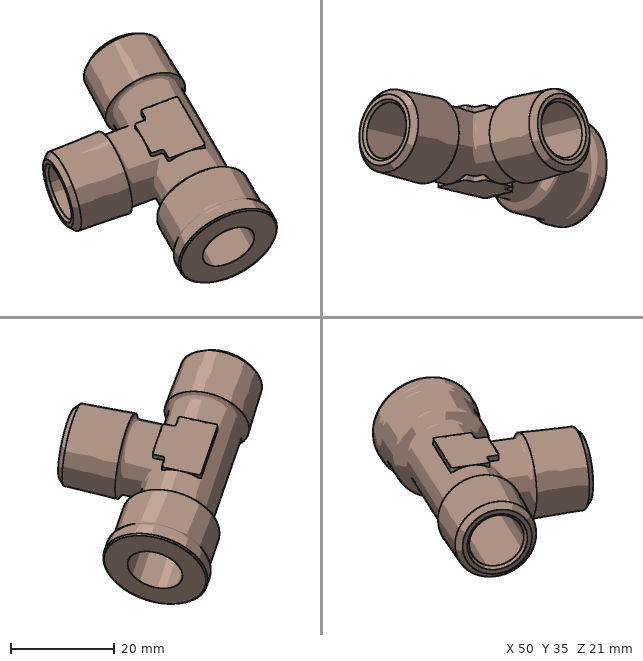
import cadquery as cq
import math

pipe_radius = 7.5
bore_radius = 5.5

spigot_reach = 24.5
spigot_start = 11.5
spigot_face_radius = 7.0
spigot_tip_radius = 8.2
spigot_root_radius = 8.5
spigot_lead_in = 1.15
spigot_neck_fillet = 1.0
spigot_neck_angle = 60.0
mouth_chamfer = 0.55

socket_reach = 25.5
socket_radius = 9.75
socket_start = 11.55
shoulder_angle = 60.0
shoulder_inner_fillet = 0.75
shoulder_outer_round = 1.0
collar_start = 21.45
collar_radius = 10.5
collar_angle = 45.0
collar_fillet = 1.0
collar_chamfer = 0.3

pad_base = 6.25
pad_draft = 3.0
pad_head_half_width = 6.5
pad_stem_half_width = 3.95
pad_back = 4.0
pad_step = -3.95
pad_front = -6.5
pad_corner_radius = 0.5

crease_fillet = 0.5


def add_shoulder(outline, start, radius_in, radius_out, angle, fillet, outer_round):
    """Extend a profile outward: concave arc, cone at the given angle, optional convex arc."""
    slope = math.radians(angle)

    def arc_point(size, turn):
        return size * math.sin(turn), size * (1 - math.cos(turn))

    fillet_run, fillet_rise = arc_point(fillet, slope)
    mid_run, mid_rise = arc_point(fillet, slope / 2)
    round_run, round_rise = arc_point(outer_round, slope)
    cone_rise = radius_out - radius_in - fillet_rise - round_rise
    cone_end = start + fillet_run + cone_rise / math.tan(slope)
    outline = outline.lineTo(start, radius_in)
    outline = outline.threePointArc(
        (start + mid_run, radius_in + mid_rise),
        (start + fillet_run, radius_in + fillet_rise),
    )
    outline = outline.lineTo(cone_end, radius_out - round_rise)
    if outer_round > 0:
        end = cone_end + round_run
        back_run, back_drop = arc_point(outer_round, slope / 2)
        outline = outline.threePointArc((end - back_run, radius_out - back_drop), (end, radius_out))
    return outline


def revolve_along_x(outline):
    return outline.close().revolve(360, (0, 0, 0), (1, 0, 0))


def make_spigot():
    """Tapered spigot pointing along +X, without its plain pipe."""
    outline = cq.Workplane("XY").moveTo(spigot_start, 0)
    outline = add_shoulder(
        outline, spigot_start, pipe_radius, spigot_root_radius,
        spigot_neck_angle, spigot_neck_fillet, 0,
    )
    outline = outline.lineTo(spigot_reach - spigot_lead_in, spigot_tip_radius)
    outline = outline.lineTo(spigot_reach, spigot_face_radius)
    outline = outline.lineTo(spigot_reach, 0)
    return revolve_along_x(outline)


def make_socket():
    outline = cq.Workplane("XY").moveTo(socket_start, 0)
    outline = add_shoulder(
        outline, socket_start, pipe_radius, socket_radius,
        shoulder_angle, shoulder_inner_fillet, shoulder_outer_round,
    )
    outline = add_shoulder(
        outline, collar_start, socket_radius, collar_radius,
        collar_angle, collar_fillet, collar_fillet,
    )
    outline = outline.lineTo(socket_reach - collar_chamfer, collar_radius)
    outline = outline.lineTo(socket_reach, collar_radius - collar_chamfer)
    outline = outline.lineTo(socket_reach, 0)
    return revolve_along_x(outline)


def make_pad():
    """Drafted T-shaped pad on the +Z side, its face level with the top of the pipes."""
    right_side = [
        (pad_head_half_width, pad_back),
        (pad_head_half_width, pad_step),
        (pad_stem_half_width, pad_step),
        (pad_stem_half_width, pad_front),
    ]
    left_side = [(-x, y) for x, y in reversed(right_side)]
    corners = right_side + left_side
    outline = cq.Sketch().polygon(corners + corners[:1]).vertices().fillet(pad_corner_radius)
    pad = cq.Workplane("XY").workplane(offset=pad_base).placeSketch(outline)
    return pad.extrude(pipe_radius - pad_base, taper=pad_draft)


def make_bore(start):
    """Bore from start along +X to a spigot face, widened by a chamfer at its mouth."""
    outline = cq.Workplane("XY").moveTo(start, 0)
    outline = outline.lineTo(start, bore_radius)
    outline = outline.lineTo(spigot_reach - mouth_chamfer, bore_radius)
    outline = outline.lineTo(spigot_reach, bore_radius + mouth_chamfer)
    outline = outline.lineTo(spigot_reach, 0)
    return revolve_along_x(outline)


def to_run_end(shape):
    return shape.rotate((0, 0, 0), (0, 0, 1), 180)


def to_branch(shape):
    return shape.rotate((0, 0, 0), (0, 0, 1), -90)


run_pipe = cq.Workplane("YZ").workplane(offset=-spigot_start).circle(pipe_radius)
run_pipe = run_pipe.extrude(spigot_start + socket_start)
branch_pipe = cq.Workplane("XZ").circle(pipe_radius).extrude(spigot_start)
pipes = run_pipe.union(branch_pipe)
pipes = pipes.edges("%ELLIPSE").fillet(crease_fillet)

pad = make_pad()
spigot = make_spigot()
body = pipes.union(pad).union(pad.mirror("XY"))
body = body.union(to_run_end(spigot)).union(to_branch(spigot)).union(make_socket())

run_bore = to_run_end(make_bore(-socket_reach))
branch_bore = to_branch(make_bore(0))
result = body.cut(run_bore).cut(branch_bore)